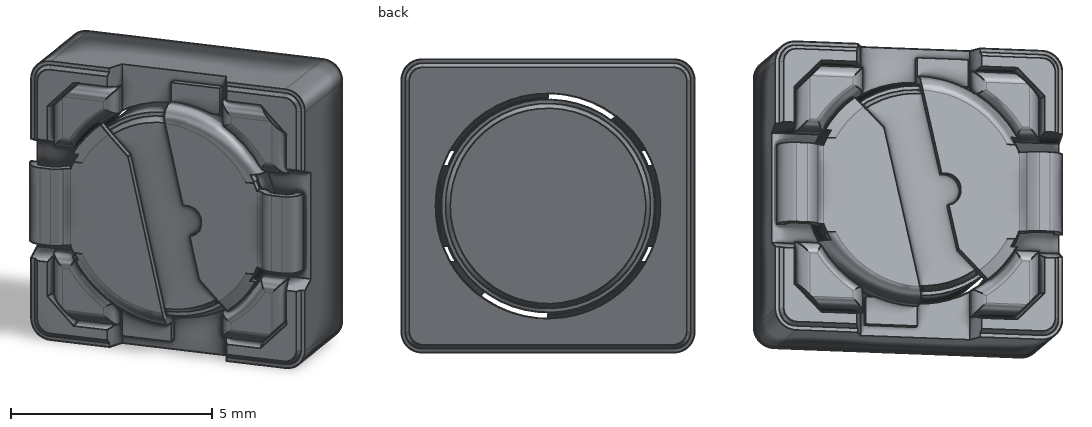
import cadquery as cq
import math


ring_width = 7.3
ring_corner_radius = 0.525
ring_depth = 2.77
shoulder_back = 0.1
shoulder_front = 2.7
rim_ledge = 0.1
rim_chamfer_width = 0.1
bore_radius = 2.8

slot_floor = 2.28
slot_half_width = 1.385
slot_mouth_half_width = 1.59

edge_round = 0.31
groove_outer = 3.185
groove_wall_lean = 0.085
groove_corner_cut = 0.7

core_radius = 2.65
core_shoulder_radius = 2.55
core_face_radius = 2.43
core_back = -0.05
core_shoulder_height = 0.16

sheet = 0.2
clip_seat = 2.8
clip_face = clip_seat + sheet
plate_radius = 2.68
bend_inner_radius = 2.49
bend_outer_radius = 2.9
lip_radius = 2.81
lip_drop = 0.03
bend_end_z = 1.19
tab_width = 1.3
tab_end_z = 3.39
clip_edge_offset = 0.607
clip_edge_slope = 0.229
clip_edge_bottom_z = -1.5
notch_radius = 0.4

lead_width = 2.0
lead_bend_outer = 0.4
lead_bend_inner = lead_bend_outer - sheet
lead_foot_start = 2.95
lead_foot_end = 3.22
lead_tip = 0.05
lead_ramp_radius = 0.22

reach = 2 * ring_width
half_turn = 180
quarter_turn = 90
diagonal = math.sqrt(0.5)


def front_plane(depth):
    """Work plane facing -Y at the given depth."""
    return cq.Workplane("XZ", origin=(0, -depth, 0))


def block(x0, x1, z0, z1, depth0, depth1):
    """Axis-aligned block between two depths."""
    centre = ((x0 + x1) / 2, (z0 + z1) / 2)
    return front_plane(depth0).center(*centre).rect(x1 - x0, z1 - z0).extrude(depth1 - depth0)


def turned(solid, angle):
    """Copy turned about the part's central Y axis."""
    return solid.rotate((0, 0, 0), (0, 1, 0), angle)


def revolved(profile):
    """Revolve a closed XY profile about the Y axis."""
    return profile.close().revolve(360, (0, 0, 0), (0, 1, 0))


def rounded_square(width, corner_radius, depth0, depth1):
    """Square block with rounded corners between two depths."""
    square = front_plane(depth0).rect(width, width).extrude(depth1 - depth0)
    return square.edges("|Y").fillet(corner_radius)


def make_ring_blank():
    """Square ring body with a smaller chamfered rim standing on each end."""
    middle = rounded_square(ring_width, ring_corner_radius, shoulder_back, shoulder_front)
    rim = rounded_square(ring_width - 2 * rim_ledge, ring_corner_radius - rim_ledge, 0, ring_depth)
    rim = rim.faces(">Y").chamfer(shoulder_back, rim_chamfer_width)
    rim = rim.faces("<Y").chamfer(ring_depth - shoulder_front, rim_chamfer_width)
    return middle.union(rim)


def make_slot():
    profile = (
        cq.Workplane("XY", origin=(0, 0, -reach / 2))
        .moveTo(-slot_half_width, -slot_floor)
        .lineTo(slot_half_width, -slot_floor)
        .lineTo(slot_mouth_half_width, -ring_depth)
        .lineTo(-slot_mouth_half_width, -ring_depth)
        .close()
    )
    return profile.extrude(reach)


def pad_outline(depth, inset):
    """Pad pocket outline with its outer walls moved inward by the inset."""
    outer = groove_outer - inset
    diagonal_sum = 2 * groove_outer - groove_corner_cut - inset * math.sqrt(2)
    corner = diagonal_sum - outer
    return front_plane(depth).polyline([
        (slot_half_width, slot_half_width),
        (outer, slot_half_width),
        (outer, corner),
        (corner, outer),
        (slot_half_width, outer),
    ]).close()


def make_pad_pocket():
    top = pad_outline(ring_depth, 0).wires().val()
    bottom = pad_outline(ring_depth - edge_round, groove_wall_lean).wires().val()
    return cq.Workplane(cq.Solid.makeLoft([bottom, top], True))


def make_pad_island():
    outer = groove_outer - groove_wall_lean
    island = block(slot_half_width, outer, slot_half_width, outer, slot_floor, ring_depth)
    island = island.faces("<Y").edges().fillet(edge_round)
    limit = pad_outline(slot_floor, groove_wall_lean).extrude(ring_depth - slot_floor)
    return island.intersect(limit)


def make_bore():
    """Through bore whose front edge is rounded."""
    round_start = ring_depth - edge_round
    round_mid = edge_round * (1 - diagonal)
    return revolved(
        cq.Workplane("XY")
        .moveTo(0, 0)
        .lineTo(bore_radius, 0)
        .lineTo(bore_radius, -round_start)
        .threePointArc(
            (bore_radius + round_mid, -(ring_depth - round_mid)),
            (bore_radius + edge_round, -ring_depth),
        )
        .lineTo(0, -ring_depth)
    )


def make_ring():
    ring = make_ring_blank()
    slot = make_slot()
    ring = ring.cut(slot).cut(turned(slot, quarter_turn))
    pocket = make_pad_pocket()
    island = make_pad_island()
    for quarter in range(4):
        ring = ring.cut(turned(pocket, quarter_turn * quarter))
        ring = ring.union(turned(island, quarter_turn * quarter))
    return ring.cut(make_bore())


def make_core():
    back_shoulder = core_back + core_shoulder_height
    front_shoulder = clip_seat - core_shoulder_height
    return revolved(
        cq.Workplane("XY").polyline([
            (0, -core_back),
            (core_face_radius, -core_back),
            (core_shoulder_radius, -back_shoulder),
            (core_radius, -back_shoulder),
            (core_radius, -front_shoulder),
            (core_shoulder_radius, -front_shoulder),
            (core_face_radius, -clip_seat),
            (0, -clip_seat),
        ])
    )


def make_bent_disc():
    """Disc of sheet whose rim turns back through a right angle to the slot floor."""
    outer_bend = bend_outer_radius - bend_inner_radius
    inner_bend = outer_bend - sheet
    knee_depth = clip_face - outer_bend
    foot_inner = bend_outer_radius - sheet
    return revolved(
        cq.Workplane("XY")
        .moveTo(0, -clip_face)
        .lineTo(bend_inner_radius, -clip_face)
        .threePointArc(
            (bend_inner_radius + outer_bend * diagonal, -(knee_depth + outer_bend * diagonal)),
            (bend_outer_radius, -knee_depth),
        )
        .lineTo(bend_outer_radius, -slot_floor)
        .lineTo(foot_inner, -slot_floor)
        .lineTo(foot_inner, -knee_depth)
        .threePointArc(
            (bend_inner_radius + inner_bend * diagonal, -(knee_depth + inner_bend * diagonal)),
            (bend_inner_radius, -clip_seat),
        )
        .lineTo(0, -clip_seat)
    )


def make_lip_disc():
    """Disc of sheet whose rim slopes back only slightly."""
    return revolved(
        cq.Workplane("XY").polyline([
            (0, -clip_face),
            (bend_inner_radius, -clip_face),
            (lip_radius, -(clip_face - lip_drop)),
            (lip_radius, -(clip_seat - lip_drop)),
            (bend_inner_radius, -clip_seat),
            (0, -clip_seat),
        ])
    )


def make_clip_outline():
    """Prism over the half of the core that the right-hand clip covers."""
    edge_top_z = bend_inner_radius
    edge_top_x = clip_edge_offset - clip_edge_slope * edge_top_z
    edge_bottom_x = clip_edge_offset - clip_edge_slope * clip_edge_bottom_z
    side = ring_width / 2
    return (
        front_plane(slot_floor)
        .polyline([
            (0, side),
            (0, bend_inner_radius + sheet),
            (edge_top_x, edge_top_z),
            (edge_bottom_x, clip_edge_bottom_z),
            (side, clip_edge_bottom_z + edge_bottom_x - side),
            (side, side),
        ])
        .close()
        .extrude(clip_face - slot_floor)
    )


def make_clip_plate():
    """Plate on the core: flat in the middle, bent down above it and lipped below it."""
    full = front_plane(slot_floor).circle(plate_radius).extrude(clip_face - slot_floor)
    plate = full.intersect(block(0, reach, -bend_end_z, bend_end_z, clip_seat, clip_face))
    for side, disc in ((1, make_bent_disc()), (-1, make_lip_disc())):
        near = sorted((side * bend_end_z, side * slot_half_width))
        far = sorted((side * slot_half_width, side * reach))
        near_zone = block(-reach, reach, *near, slot_floor, clip_face).intersect(full)
        far_zone = block(-reach, reach, *far, slot_floor, clip_face)
        plate = plate.union(disc.intersect(near_zone)).union(disc.intersect(far_zone))
    return plate.intersect(make_clip_outline())


def make_lead():
    """Bent lead: down a 45 degree ramp, along the foot and up into a hooked end."""
    foot = clip_seat + lead_bend_outer
    ramp_half_angle = math.radians(45 / 2)
    half_sine = math.sin(ramp_half_angle)
    half_cosine = math.cos(ramp_half_angle)
    ramp_outer = (lead_foot_start - lead_bend_outer * diagonal, clip_seat + lead_bend_outer * diagonal)
    ramp_inner = (lead_foot_start - lead_bend_inner * diagonal, clip_seat + lead_bend_inner * diagonal)
    ramp_top_outer = ramp_outer[0] - (ramp_outer[1] - clip_face)
    ramp_top_inner = ramp_inner[0] - (ramp_inner[1] - clip_seat)
    tip_depth = clip_seat - lead_tip
    root = bend_inner_radius - sheet
    fillet_length = lead_ramp_radius * math.tan(ramp_half_angle)

    def arc_point(centre_x, radius, across, down):
        return (centre_x + radius * across, -(clip_seat + radius * down))

    profile = (
        cq.Workplane("XY", origin=(0, 0, -lead_width / 2))
        .moveTo(root, -clip_seat)
        .lineTo(root, -clip_face)
        .lineTo(ramp_top_outer - fillet_length, -clip_face)
        .tangentArcPoint(
            (ramp_top_outer + fillet_length * diagonal, -(clip_face + fillet_length * diagonal)),
            relative=False,
        )
        .lineTo(ramp_outer[0], -ramp_outer[1])
        .threePointArc(
            arc_point(lead_foot_start, lead_bend_outer, -half_sine, half_cosine),
            (lead_foot_start, -foot),
        )
        .lineTo(lead_foot_end, -foot)
        .threePointArc(
            arc_point(lead_foot_end, lead_bend_outer, diagonal, diagonal),
            (lead_foot_end + lead_bend_outer, -clip_seat),
        )
        .lineTo(lead_foot_end + lead_bend_outer, -tip_depth)
        .lineTo(lead_foot_end + lead_bend_inner, -tip_depth)
        .lineTo(lead_foot_end + lead_bend_inner, -clip_seat)
        .threePointArc(
            arc_point(lead_foot_end, lead_bend_inner, diagonal, diagonal),
            (lead_foot_end, -clip_face),
        )
        .lineTo(lead_foot_start, -clip_face)
        .threePointArc(
            arc_point(lead_foot_start, lead_bend_inner, -half_sine, half_cosine),
            (ramp_inner[0], -ramp_inner[1]),
        )
        .lineTo(ramp_top_inner, -clip_seat)
        .close()
    )
    return profile.extrude(lead_width)


def make_clip():
    tab = block(0, tab_width, bend_outer_radius - sheet, tab_end_z, slot_floor, slot_floor + sheet)
    return make_clip_plate().union(tab).union(make_lead())


def make_notch():
    return front_plane(clip_seat).center(clip_edge_offset, 0).circle(notch_radius).extrude(sheet)


right_clip = make_clip()
left_clip = turned(right_clip, half_turn)
right_clip = right_clip.cut(make_notch())

result = make_ring().union(make_core()).union(right_clip).union(left_clip)